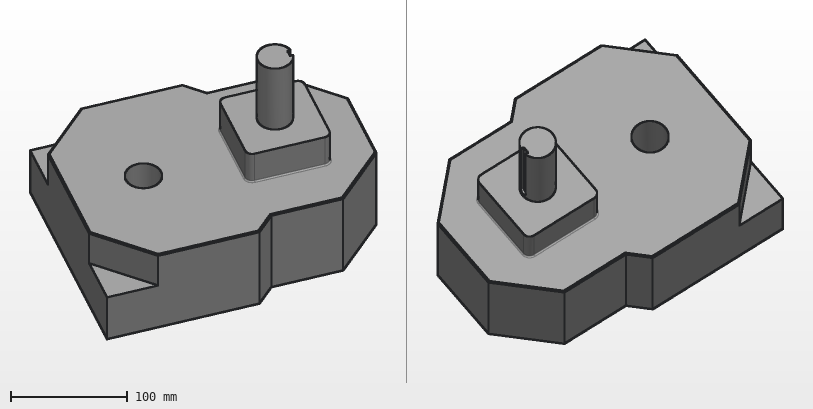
import cadquery as cq

width = 200.0
length = 266.7
total_height = 185.5
body_height = 83.5
rear_width = 167.0
shoulder_y = 138.5
corner_cut = 46.5
front_ledge_height = 48.3
top_edge_chamfer = 1.0

hole_diameter = 32.0
hole_y = 68.0

boss_side = 76.5
boss_top = 115.5
boss_corner_radius = 6.5
boss_base_fillet = 1.3
shaft_y = 187.5

shaft_diameter = 31.5
keyway_width = 6.5
keyway_depth = 3.2
keyway_end_gap = 2.7

half_width = width / 2
half_rear = rear_width / 2
shoulder_step = half_width - half_rear


def symmetric_prism(right_side, bottom, top):
    """Extrude an outline given by its +X points, mirrored across X = 0."""
    left_side = [(-x, y) for x, y in reversed(right_side)]
    outline = cq.Workplane("XY").workplane(offset=bottom).polyline(right_side + left_side)
    return outline.close().extrude(top - bottom)


def make_housing():
    rear_points = [
        (half_width, shoulder_y),
        (half_rear, shoulder_y + shoulder_step),
        (half_rear, length - corner_cut),
        (half_rear - corner_cut, length),
    ]
    cut_front = [(half_width - corner_cut, 0), (half_width, corner_cut)]
    square_front = [(half_width, 0)]
    upper = symmetric_prism(cut_front + rear_points, 0, body_height)
    upper = upper.faces(">Z").chamfer(top_edge_chamfer)
    lower = symmetric_prism(square_front + rear_points, 0, front_ledge_height)
    return upper.union(lower)


def add_boss(housing):
    boss = (
        cq.Workplane("XY", origin=(0, shaft_y, 0))
        .rect(boss_side, boss_side)
        .extrude(boss_top)
        .edges("|Z")
        .fillet(boss_corner_radius)
    )
    half_zone = boss_side / 2 + boss_base_fillet
    base_edges = cq.selectors.BoxSelector(
        (-half_zone, shaft_y - half_zone, body_height - boss_base_fillet),
        (half_zone, shaft_y + half_zone, body_height + boss_base_fillet),
    )
    return housing.union(boss).edges(base_edges).fillet(boss_base_fillet)


def make_shaft():
    shaft_radius = shaft_diameter / 2
    shaft = (
        cq.Workplane("XY", origin=(0, shaft_y, boss_top))
        .circle(shaft_radius)
        .extrude(total_height - boss_top)
    )
    half_key = keyway_width / 2
    key_floor_y = shaft_y + shaft_radius - keyway_depth
    round_bottom = boss_top + keyway_end_gap
    round_centre = round_bottom + half_key
    keyway = (
        cq.Workplane("XZ", origin=(0, key_floor_y, 0))
        .moveTo(-half_key, total_height)
        .lineTo(-half_key, round_centre)
        .threePointArc((0, round_bottom), (half_key, round_centre))
        .lineTo(half_key, total_height)
        .close()
        .extrude(-shaft_radius)
    )
    return shaft.cut(keyway)


hole = cq.Workplane("XY", origin=(0, hole_y, 0)).circle(hole_diameter / 2).extrude(body_height)
result = add_boss(make_housing()).union(make_shaft()).cut(hole)